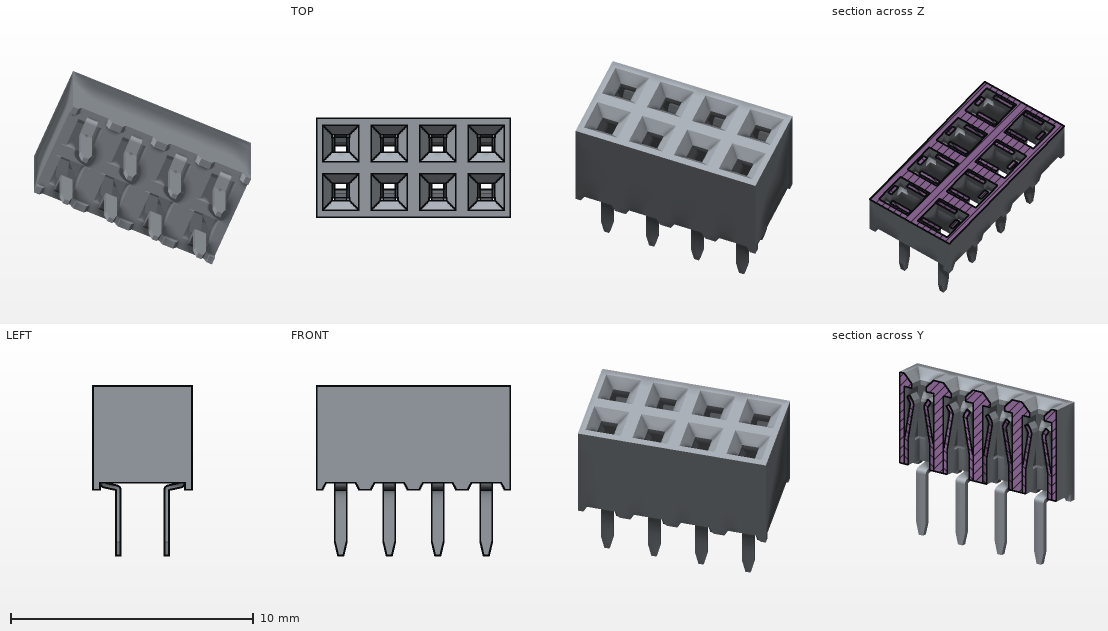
import cadquery as cq
import math


COLUMNS = 4
PITCH = 2.0
ROW_OFFSET = PITCH / 2
COLUMN_X = [(i - (COLUMNS - 1) / 2) * PITCH for i in range(COLUMNS)]

LENGTH = COLUMNS * PITCH
WIDTH = 4.1
HEIGHT = 4.0
FOOT_HEIGHT = 0.3
CAVITY = 1.49
NOTCH_TOP = 1.22
NOTCH_BOTTOM = 1.52
FUNNEL = 1.5
OPENING = 0.71
FUNNEL_DEPTH = (FUNNEL - OPENING) / 2
PLATE = 0.21
CAVITY_TOP = HEIGHT - FUNNEL_DEPTH - PLATE

SHEET = 0.2
WALL = CAVITY / 2 - SHEET
TIP = 0.46
KNEE = 0.3
CREST = 0.25
LEAD_IN_ANGLE = math.radians(57)
NECK_ANGLE = math.radians(71)
TIP_Z = 3.1
KNEE_Z = TIP_Z - (TIP - KNEE) * math.tan(LEAD_IN_ANGLE)
CREST_Z = KNEE_Z - (KNEE - CREST) * math.tan(NECK_ANGLE)
ROOT_Z = 1.12
BAND_HEIGHT = 0.96
STRIP_WIDTH = 0.5
SIDE_FINGER_LENGTH = 0.96
SHOULDER_ANGLE = math.radians(12)
TAIL_LENGTH = 3.0
TAPER_LENGTH = 0.57
TAIL_TIP_WIDTH = 0.22


def block(x_size, y_size, z_low, z_high):
    """Box centred on the Z axis."""
    return cq.Workplane("XY").workplane(offset=z_low).rect(x_size, y_size).extrude(z_high - z_low)


def make_socket():
    """Space of one socket: funnel, opening and the well below, which is open at the bottom."""
    funnel = (
        cq.Workplane("XY").workplane(offset=HEIGHT).rect(FUNNEL, FUNNEL)
        .workplane(offset=-FUNNEL_DEPTH).rect(OPENING, OPENING).loft(ruled=True)
    )
    opening = block(OPENING, OPENING, CAVITY_TOP, HEIGHT - FUNNEL_DEPTH)
    well = block(CAVITY, CAVITY, 0, CAVITY_TOP)
    return funnel.union(opening).union(well)


def make_housing():
    """Block with eight sockets and a row of tapered feet along each long side."""
    housing = block(LENGTH, WIDTH, -FOOT_HEIGHT, HEIGHT)
    channel_width = 2 * ROW_OFFSET + CAVITY
    housing = housing.cut(block(LENGTH, channel_width, -FOOT_HEIGHT, 0))
    socket = make_socket()
    for x in COLUMN_X:
        notch = (
            cq.Workplane("XZ")
            .polyline([
                (x - NOTCH_TOP / 2, 0),
                (x + NOTCH_TOP / 2, 0),
                (x + NOTCH_BOTTOM / 2, -FOOT_HEIGHT),
                (x - NOTCH_BOTTOM / 2, -FOOT_HEIGHT),
            ])
            .close().extrude(WIDTH / 2, both=True)
        )
        housing = housing.cut(notch)
        for y in (-ROW_OFFSET, ROW_OFFSET):
            housing = housing.cut(socket.translate((x, y, 0)))
    return housing


def offset_path(path):
    """Path moved outwards by the sheet thickness, with mitred corners and square ends."""
    normals = []
    for (r0, z0), (r1, z1) in zip(path, path[1:]):
        length = math.hypot(r1 - r0, z1 - z0)
        normals.append(((z0 - z1) / length, (r1 - r0) / length))
    moved = []
    for (r, z), (ar, az), (br, bz) in zip(path, normals[:1] + normals, normals + normals[-1:]):
        stretch = SHEET / (1 + ar * br + az * bz)
        moved.append((r + (ar + br) * stretch, z + (az + bz) * stretch))
    return moved


def make_finger(width):
    """Spring finger on the +Y wall of its well, running down to the housing underside."""
    inner = [(TIP, TIP_Z), (KNEE, KNEE_Z), (CREST, CREST_Z), (WALL, ROOT_Z), (WALL, 0)]
    outline = inner + offset_path(inner)[::-1]
    return cq.Workplane("YZ").polyline(outline).close().extrude(width / 2, both=True)


def make_tail():
    """Shoulder that slopes from the +Y wall to the socket axis, and the tapered solder tail."""
    sin_a = math.sin(SHOULDER_ANGLE)
    cos_a = math.cos(SHOULDER_ANGLE)
    slope_start = (WALL + SHEET * sin_a, -SHEET * cos_a)
    tail_half = SHEET / 2
    bend_z = slope_start[1] - (slope_start[0] - tail_half) * sin_a / cos_a

    def on_bend(centre_y, centre_z, angle):
        return (centre_y + SHEET * math.cos(angle), centre_z + SHEET * math.sin(angle))

    upper_end = SHOULDER_ANGLE - math.pi / 2
    lower_start = SHOULDER_ANGLE + math.pi / 2
    profile = (
        cq.Workplane("YZ").moveTo(WALL, 0).lineTo(WALL + SHEET, 0)
        .threePointArc(on_bend(WALL, 0, upper_end / 2), slope_start)
        .lineTo(tail_half, bend_z)
        .lineTo(tail_half, -TAIL_LENGTH)
        .lineTo(-tail_half, -TAIL_LENGTH)
        .lineTo(-tail_half, bend_z)
        .threePointArc(
            on_bend(tail_half, bend_z, (lower_start + math.pi) / 2),
            on_bend(tail_half, bend_z, lower_start),
        )
        .close().extrude(STRIP_WIDTH / 2, both=True)
    )
    taper_z = TAPER_LENGTH - TAIL_LENGTH
    front_outline = (
        cq.Workplane("XZ")
        .polyline([
            (-STRIP_WIDTH / 2, 0),
            (STRIP_WIDTH / 2, 0),
            (STRIP_WIDTH / 2, taper_z),
            (TAIL_TIP_WIDTH / 2, -TAIL_LENGTH),
            (-TAIL_TIP_WIDTH / 2, -TAIL_LENGTH),
            (-STRIP_WIDTH / 2, taper_z),
        ])
        .close().extrude(CAVITY / 2, both=True)
    )
    return profile.intersect(front_outline)


def make_contact():
    """Contact whose tail comes from the +Y wall, with fingers on the +Y, +X and -X walls."""
    side_start = STRIP_WIDTH / 2
    side_end = side_start - SIDE_FINGER_LENGTH
    side_centre = (side_start + side_end) / 2

    band_depth = CAVITY / 2 - side_end
    hollow_depth = WALL - side_end
    band = block(CAVITY, band_depth, 0, BAND_HEIGHT).translate((0, side_end + band_depth / 2, 0))
    hollow = block(2 * WALL, hollow_depth, 0, BAND_HEIGHT).translate((0, side_end + hollow_depth / 2, 0))
    band = band.cut(hollow)

    contact = band.union(make_finger(STRIP_WIDTH)).union(make_tail())
    side_finger = make_finger(SIDE_FINGER_LENGTH)
    for side in (-1, 1):
        turned = side_finger.rotate((0, 0, 0), (0, 0, 1), -90 * side)
        contact = contact.union(turned.translate((0, side_centre, 0)))
    return contact


housing = make_housing()

contacts = []
rear_contact = make_contact()
front_contact = rear_contact.rotate((0, 0, 0), (0, 0, 1), 180)
for column_x in COLUMN_X:
    contacts.append(rear_contact.translate((column_x, ROW_OFFSET, 0)).val())
    contacts.append(front_contact.translate((column_x, -ROW_OFFSET, 0)).val())

result = cq.Compound.makeCompound([housing.val(), *contacts])